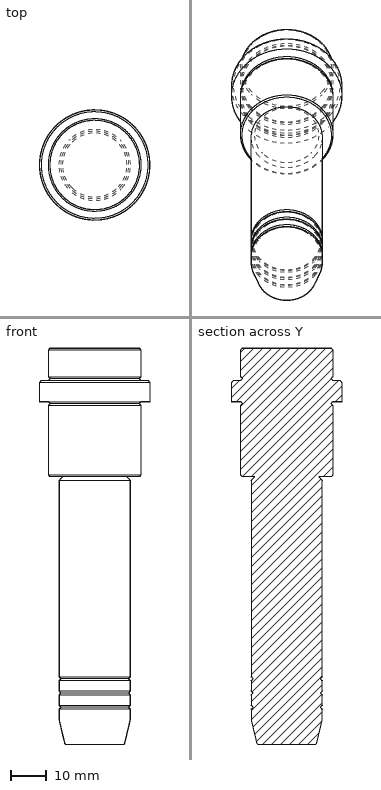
import cadquery as cq

length = 111.0
head_diameter = 26.0
flange_diameter = 31.0
shaft_diameter = 20.0

flange_top_depth = 9.0
flange_thickness = 6.0
shoulder_depth = 36.0

head_chamfer = 0.4
flange_chamfer = 0.5
tip_fillet = 0.5

head_relief_width = 1.0

neck_height = 1.0
neck_depth = 1.0

groove_count = 3
groove_width = 1.0
groove_pitch = 4.0
top_groove_base = 18.0

taper_height = 7.0
tip_diameter = 16.6

flange_top = length - flange_top_depth
flange_base = flange_top - flange_thickness
shoulder = length - shoulder_depth


def cylinder(diameter, bottom, top):
    """Upright cylinder on the Z axis between two heights."""
    return cq.Workplane("XY").workplane(offset=bottom).circle(diameter / 2).extrude(top - bottom)


def v_ring(diameter, bottom, width):
    """Ring with 45 degree flanks that cuts a V groove into a cylinder."""
    radius = diameter / 2
    return (
        cq.Workplane("XZ")
        .moveTo(radius, bottom)
        .lineTo(radius - width / 2, bottom + width / 2)
        .lineTo(radius, bottom + width)
        .close()
        .revolve(360, (0, 0, 0), (0, 1, 0))
    )


def head():
    """Head cylinder with chamfered ends and a relief on each side of the flange."""
    body = cylinder(head_diameter, shoulder, length).faces("<Z or >Z").chamfer(head_chamfer)
    for bottom in (flange_top, flange_base - head_relief_width):
        body = body.cut(v_ring(head_diameter, bottom, head_relief_width))
    return body


def flange():
    """Collar with a chamfered upper edge."""
    return cylinder(flange_diameter, flange_base, flange_top).faces(">Z").chamfer(flange_chamfer)


def shaft():
    """Shaft with a tapered, rounded tip, ring grooves and a conical neck."""
    radius = shaft_diameter / 2
    body = (
        cq.Workplane("XZ")
        .lineTo(tip_diameter / 2, 0)
        .lineTo(radius, taper_height)
        .lineTo(radius, shoulder - neck_height)
        .lineTo(radius - neck_depth, shoulder)
        .lineTo(0, shoulder)
        .close()
        .revolve(360, (0, 0, 0), (0, 1, 0))
        .faces("<Z")
        .edges()
        .fillet(tip_fillet)
    )
    for index in range(groove_count):
        bottom = top_groove_base - index * groove_pitch
        body = body.cut(v_ring(shaft_diameter, bottom, groove_width))
    return body


result = head().union(flange()).union(shaft())